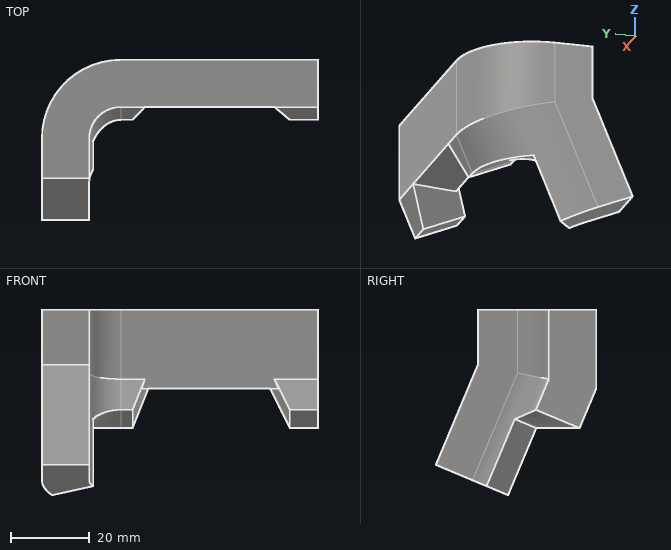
import cadquery as cq
import math

length = 70.0
depth = 30.0
thickness = 12.0
height = 20.0
outer_radius = 20.0
inner_radius = outer_radius - thickness
corner_angle = 90.0
bend_angle = 22.77

leg_overhang = 10.64
leg_arc_angle = 29.6
lug_drop = 10.0
left_lug_root = 27.0
left_lug_tip = 23.0
right_lug_root = 57.8
right_lug_tip = 62.8

lean = math.radians(bend_angle)
axis_x = outer_radius
axis_y = depth - outer_radius
front_bend_z = -height + depth * math.tan(lean / 2)
leg_length = leg_overhang / math.sin(lean)
back_bend_level = depth * math.tan(lean / 2)
lug_end_level = back_bend_level - lug_drop / math.cos(lean)

margin = 50.0
rim_overlap = 1.0
rim_points = 20

leaning_plane = cq.Plane(
    origin=(0, 0, front_bend_z),
    xDir=(1, 0, 0),
    normal=(0, math.sin(lean), math.cos(lean)),
)


def corner_point(radius, angle_degrees):
    """Plan point on the corner; 0 degrees points to -X and 90 degrees to +Y."""
    angle = math.radians(angle_degrees)
    return (axis_x - radius * math.cos(angle), axis_y + radius * math.sin(angle))


def bar_corner(workplane):
    """Plan outline of the front straight and the rounded corner."""
    return (
        workplane.moveTo(0, 0)
        .lineTo(0, axis_y)
        .threePointArc(corner_point(outer_radius, corner_angle / 2), (axis_x, depth))
        .lineTo(axis_x, depth - thickness)
        .threePointArc(corner_point(inner_radius, corner_angle / 2), (thickness, axis_y))
        .lineTo(thickness, 0)
        .close()
    )


def make_above_bend():
    """Trimming body filling the space above the bend plane."""
    slope = math.tan(lean / 2)
    return (
        cq.Workplane("YZ")
        .moveTo(-margin, front_bend_z + slope * margin)
        .lineTo(depth + margin, -height - slope * margin)
        .lineTo(depth + margin, margin)
        .lineTo(-margin, margin)
        .close()
        .extrude(length + 2 * margin)
        .translate((-margin, 0, 0))
    )


def make_upper_part(above_bend):
    """Upright bar: rounded corner ending on the bend plane, straight with a level underside."""
    corner = bar_corner(cq.Workplane("XY")).extrude(-height).intersect(above_bend)
    straight = cq.Workplane("XY").box(length - axis_x, thickness, height, centered=False)
    straight = straight.translate((axis_x, depth - thickness, -height))
    return corner.union(straight)


def web_rim(radius):
    """Curve of the web end at one radius; its level keeps the outer wall's lower edge horizontal."""
    web_drop = outer_radius * math.tan(lean)

    def rim_point(t):
        angle = leg_arc_angle + t * (corner_angle - leg_arc_angle)
        x, y = corner_point(radius, angle)
        level = lug_end_level - web_drop * (1 - math.sin(math.radians(angle)))
        return (x, y, level)

    return cq.Workplane(leaning_plane).parametricCurve(rim_point, N=rim_points, makeWire=False).val()


def make_leg_and_web():
    """Leaning corner: a long square-cut leg, then a short web whose end is ruled radially."""
    tip_plane = cq.Workplane(leaning_plane).workplane(offset=-leg_length)
    corner = bar_corner(tip_plane).extrude(leg_length + back_bend_level)
    web_end = cq.Face.makeRuledSurface(
        web_rim(inner_radius - rim_overlap),
        web_rim(outer_radius + rim_overlap),
    )
    below_web = cq.Solid.extrudeLinear(web_end, leaning_plane.zDir * -leg_length)
    return corner.cut(cq.Workplane(below_web))


def make_lug(flat_x, root_x, tip_x):
    """Leaning lug with one upright side at flat_x and one tapered side."""
    lug_plane = cq.Plane(
        origin=leaning_plane.toWorldCoords((0, depth, 0)).toTuple(),
        xDir=(1, 0, 0),
        normal=-leaning_plane.yDir,
    )
    return (
        cq.Workplane(lug_plane)
        .moveTo(flat_x, lug_end_level)
        .lineTo(tip_x, lug_end_level)
        .lineTo(root_x, back_bend_level)
        .lineTo(flat_x, back_bend_level)
        .close()
        .extrude(thickness)
    )


above_bend = make_above_bend()
lower_parts = [
    make_leg_and_web(),
    make_lug(axis_x, left_lug_root, left_lug_tip),
    make_lug(length, right_lug_root, right_lug_tip),
]

result = make_upper_part(above_bend)
for lower_part in lower_parts:
    result = result.union(lower_part.cut(above_bend))